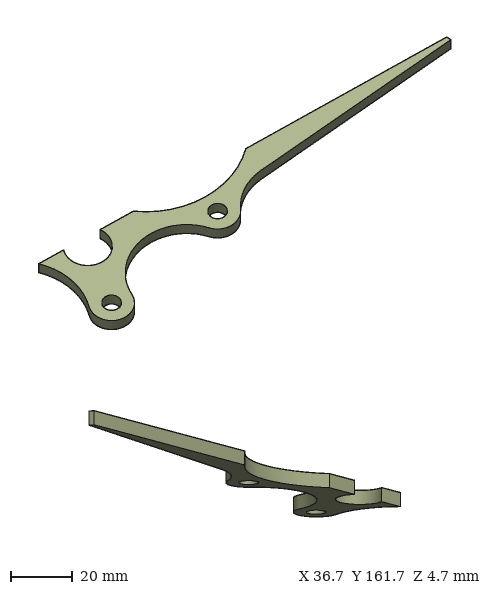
import cadquery as cq
import math

LENGTH = 161.7
WIDTH = 36.7
THICKNESS = 4.7

HOLE_DIAMETER = 6.3
HOLE_SPACING = 51.1
BOSS_RADIUS = 7.5

TIP_RIGHT = 8.4
TIP_WIDTH = 1.8
HEEL_Y = -3.9

SADDLE_RADIUS = 19.9
NECK_CENTER_Y = 70.8
FOOT_RADIUS = 24.3

NOTCH_CENTER = (-21.3, 12.1)
NOTCH_RADIUS = 8.0
SCALLOP_CENTER = (-39.1, 59.8)
SCALLOP_RADIUS = 33.0

lower_boss = (0.0, 0.0)
upper_boss = (0.0, HOLE_SPACING)
tip_y = LENGTH - BOSS_RADIUS
tip_right = (TIP_RIGHT, tip_y)
tip_left = (TIP_RIGHT - TIP_WIDTH, tip_y)
heel = (TIP_RIGHT - WIDTH, HEEL_Y)


def direction(start, end):
    """Angle of the line from start to end."""
    return math.atan2(end[1] - start[1], end[0] - start[0])


def polar(center, radius, angle):
    """Point on a circle."""
    return (center[0] + radius * math.cos(angle), center[1] + radius * math.sin(angle))


def arc_middle(center, radius, start, end):
    """Middle of the shorter arc between two points of a circle."""
    chord_middle = ((start[0] + end[0]) / 2, (start[1] + end[1]) / 2)
    return polar(center, radius, direction(center, chord_middle))


def boss_tangent(boss, neighbour):
    """Point where an arc centred at neighbour touches the boss."""
    return polar(boss, BOSS_RADIUS, direction(boss, neighbour))


def foot_arc_center():
    """Centre of the arc that starts at the heel and touches the lower boss."""
    to_boss = FOOT_RADIUS + BOSS_RADIUS
    span = math.dist(lower_boss, heel)
    cosine = (to_boss**2 + span**2 - FOOT_RADIUS**2) / (2 * to_boss * span)
    return polar(lower_boss, to_boss, direction(lower_boss, heel) + math.acos(cosine))


def plate():
    """Plate with a straight left edge, two bosses on the right and a tapered blade."""
    foot_center = foot_arc_center()
    saddle_reach = SADDLE_RADIUS + BOSS_RADIUS
    saddle_center = (math.sqrt(saddle_reach**2 - (HOLE_SPACING / 2) ** 2), HOLE_SPACING / 2)
    neck_rise = NECK_CENTER_Y - HOLE_SPACING
    neck_center = (math.sqrt(saddle_reach**2 - neck_rise**2), NECK_CENTER_Y)

    foot_end = boss_tangent(lower_boss, foot_center)
    saddle_start = boss_tangent(lower_boss, saddle_center)
    saddle_end = boss_tangent(upper_boss, saddle_center)
    neck_start = boss_tangent(upper_boss, neck_center)
    tangent_angle = math.acos(SADDLE_RADIUS / math.dist(neck_center, tip_right))
    blade_start = polar(neck_center, SADDLE_RADIUS, direction(neck_center, tip_right) + tangent_angle)

    lower_boss_right = (BOSS_RADIUS, 0.0)
    upper_boss_right = (BOSS_RADIUS, HOLE_SPACING)
    return (
        cq.Workplane("XY")
        .moveTo(*heel)
        .threePointArc(arc_middle(foot_center, FOOT_RADIUS, heel, foot_end), foot_end)
        .threePointArc(lower_boss_right, saddle_start)
        .threePointArc(arc_middle(saddle_center, SADDLE_RADIUS, saddle_start, saddle_end), saddle_end)
        .threePointArc(upper_boss_right, neck_start)
        .threePointArc(arc_middle(neck_center, SADDLE_RADIUS, neck_start, blade_start), blade_start)
        .lineTo(*tip_right)
        .lineTo(*tip_left)
        .close()
        .extrude(THICKNESS)
    )


def round_cutter(center, radius):
    """Cylinder through the full thickness."""
    return cq.Workplane("XY").center(*center).circle(radius).extrude(THICKNESS)


result = plate()

for boss in (lower_boss, upper_boss):
    result = result.cut(round_cutter(boss, HOLE_DIAMETER / 2))

result = result.cut(round_cutter(NOTCH_CENTER, NOTCH_RADIUS))
result = result.cut(round_cutter(SCALLOP_CENTER, SCALLOP_RADIUS))